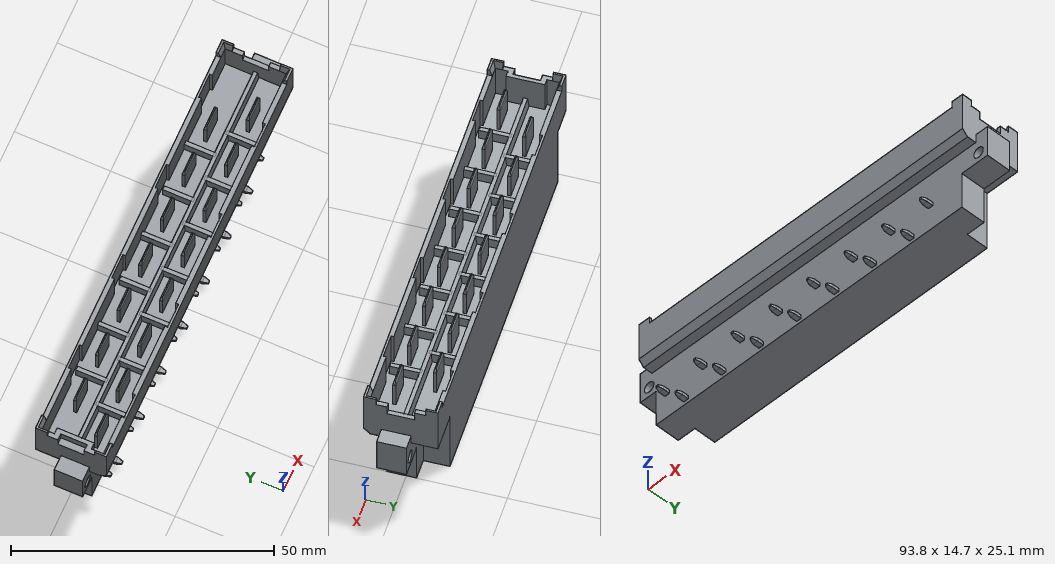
import cadquery as cq


LENGTH = 93.8
HEIGHT = 25.1

SHROUD_LENGTH = 87.4
SHROUD_WIDTH = 14.7
SHROUD_BOTTOM = 14.6
SHROUD_CHAMFER = 1.3
RIM_Z = 23.6
END_WALL = 0.9
SIDE_WALL = 1.0
FLOOR_Z = 16.3
CAVITY_LENGTH = SHROUD_LENGTH - 2 * END_WALL
CAVITY_WIDTH = SHROUD_WIDTH - 2 * SIDE_WALL
POST_LENGTH = 2.9
POST_GAP_Y = 9.85
POST_LEAD_IN = 0.6

WINDOW_WIDTH = 5.4
WINDOW_BOTTOM = 21.7
WINDOW_DEPTH = 1.4
KEY_BLOCK_WIDTH = 7.7
KEY_BLOCK_DEPTH = 2.25

FRONT_COUNT = 8
FRONT_ROW_LENGTH = 71.1
PITCH = FRONT_ROW_LENGTH / (FRONT_COUNT - 1)
BACK_COUNT = FRONT_COUNT - 1
ROW_Y = 3.3
CONTACT_CENTER_X = -1.3
FRONT_XS = [CONTACT_CENTER_X + (i - (FRONT_COUNT - 1) / 2) * PITCH for i in range(FRONT_COUNT)]
BACK_XS = [CONTACT_CENTER_X + (i - (BACK_COUNT - 1) / 2) * PITCH for i in range(BACK_COUNT)]

BLADE_WIDTH = 5.1
BLADE_THICKNESS = 0.7
BLADE_TOP = 22.8
BLADE_TIP_LENGTH = 0.8
BLADE_TIP_WIDTH = 4.1
BLADE_TIP_THICKNESS = 0.23

PIN_WIDTH = 1.2
PIN_HEIGHT = 0.8
PIN_OFFSET_X = -2.7
PIN_END_Y = -6.6
PIN_TIP_LENGTH = 1.1
PIN_TIP_WIDTH = 0.6
PIN_TIP_HEIGHT = 0.5
FRONT_PIN_Z = 6.4
BACK_PIN_Z = 1.3

RIB_TOP = 18.4
RIB_TOP_WIDTH = 0.8
CROSS_RIB_DRAFT = 0.14
CENTER_RIB_DRAFT = 0.3

CHANNEL_WIDTH = 5.2
CHANNEL_DEPTH = 0.6
CHANNEL_COUNT = 4

BODY_FRONT_Y = -3.8
BODY_STEP_Y = 2.1
EAR_BOTTOM = 9.0
EAR_TOP = 16.7
HOLE_DIAMETER = 2.5
HOLE_SPACING = 88.9
HOLE_Z = 11.4
BLOCK_LENGTH = 82.5
REAR_BLOCK_LENGTH = 73.5

OVERLAP = 0.5


def box(x_range, y_range, z_range):
    """Box between the given limits along each axis."""
    (x0, x1), (y0, y1), (z0, z1) = x_range, y_range, z_range
    return cq.Workplane("XY").box(x1 - x0, y1 - y0, z1 - z0, centered=False).translate((x0, y0, z0))


def span(center, size):
    """Limits of a stretch centred on a place."""
    return (center - size / 2, center + size / 2)


def frustum(start, start_size, end_size, length):
    """Rectangular frustum rising along Z from the middle of its base."""
    return (
        cq.Workplane("XY")
        .rect(*start_size)
        .workplane(offset=length)
        .rect(*end_size)
        .loft(combine=True)
        .translate(start)
    )


def make_housing():
    """Solid shroud with corner posts, drilled ears and the lower body."""
    half_width = SHROUD_WIDTH / 2
    shroud = box(span(0, SHROUD_LENGTH), span(0, SHROUD_WIDTH), (SHROUD_BOTTOM, HEIGHT))
    shroud = shroud.faces("<Z").edges("<Y").chamfer(SHROUD_CHAMFER)

    above_rim = (RIM_Z, HEIGHT)
    shroud = shroud.cut(box(span(0, SHROUD_LENGTH - 2 * POST_LENGTH), span(0, SHROUD_WIDTH), above_rim))
    shroud = shroud.cut(box(span(0, SHROUD_LENGTH), span(0, POST_GAP_Y), above_rim))

    plate = box(span(0, LENGTH), (BODY_FRONT_Y, BODY_STEP_Y), (EAR_BOTTOM, EAR_TOP))
    block = box(span(CONTACT_CENTER_X, BLOCK_LENGTH), (BODY_FRONT_Y, BODY_STEP_Y), (0, SHROUD_BOTTOM))
    rear_block = box(
        span(CONTACT_CENTER_X, REAR_BLOCK_LENGTH), (BODY_STEP_Y, half_width), (0, SHROUD_BOTTOM)
    )
    housing = shroud.union(plate).union(block).union(rear_block)

    holes = (
        cq.Workplane("XZ")
        .pushPoints([(-HOLE_SPACING / 2, HOLE_Z), (HOLE_SPACING / 2, HOLE_Z)])
        .circle(HOLE_DIAMETER / 2)
        .extrude(SHROUD_WIDTH, both=True)
    )
    return housing.cut(holes)


def make_channels(first_x, side):
    """Relief channels down one long wall; side is +1 for the back wall and -1 for the front."""
    center_y = side * CAVITY_WIDTH / 2
    channels = cq.Workplane("XY")
    for i in range(CHANNEL_COUNT):
        x = first_x + 2 * i * PITCH
        channel = box(span(x, CHANNEL_WIDTH), span(center_y, 2 * CHANNEL_DEPTH), (FLOOR_Z, HEIGHT))
        channels = channels.add(channel)
    return channels.combine()


def make_cavity():
    """Space inside the shroud with its wall channels and post lead-in, around the left end block."""
    left = -SHROUD_LENGTH / 2
    cavity = box(span(0, CAVITY_LENGTH), span(0, CAVITY_WIDTH), (FLOOR_Z, HEIGHT))
    cavity = cavity.union(make_channels(BACK_XS[0] + PITCH / 2, 1))
    cavity = cavity.union(make_channels(FRONT_XS[0] + PITCH / 2, -1))
    lead_in = frustum(
        (0, 0, RIM_Z),
        (CAVITY_LENGTH, CAVITY_WIDTH),
        (CAVITY_LENGTH + 2 * POST_LEAD_IN, CAVITY_WIDTH + 2 * POST_LEAD_IN),
        HEIGHT - RIM_Z,
    )
    key_block = box((left, left + KEY_BLOCK_DEPTH), span(0, KEY_BLOCK_WIDTH), (FLOOR_Z, RIM_Z))
    return cavity.union(lead_in).cut(key_block)


def cut_end_windows(shell):
    """Pocket in the block inside the left end, and a window through the right end wall."""
    left = -SHROUD_LENGTH / 2
    right = SHROUD_LENGTH / 2
    window_y = span(0, WINDOW_WIDTH)
    window_z = (WINDOW_BOTTOM, RIM_Z)
    shell = shell.cut(box((left, left + WINDOW_DEPTH), window_y, window_z))
    return shell.cut(box((right - END_WALL, right), window_y, window_z))


def tapered_rib(x_size, y_size, x_draft, y_draft, x, y):
    """Rib standing on the cavity floor, given by its top size and the draft of its sides."""
    bottom = (x_size + 2 * x_draft, y_size + 2 * y_draft)
    return frustum((x, y, FLOOR_Z), bottom, (x_size, y_size), RIB_TOP - FLOOR_Z)


def add_ribs(shell):
    """Long rib between the rows and a cross rib between neighbouring blades."""
    shell = shell.union(tapered_rib(CAVITY_LENGTH, RIB_TOP_WIDTH, 0, CENTER_RIB_DRAFT, 0, 0))
    cross_length = CAVITY_WIDTH / 2
    for row_xs, side in ((FRONT_XS, -1), (BACK_XS, 1)):
        for x in row_xs[:-1]:
            rib_x = x + PITCH / 2
            rib_y = side * cross_length / 2
            shell = shell.union(tapered_rib(RIB_TOP_WIDTH, cross_length, CROSS_RIB_DRAFT, 0, rib_x, rib_y))
    return shell


def make_blade(x, y):
    """Flat contact blade with its tip bevelled on all four sides."""
    tip_start = BLADE_TOP - BLADE_TIP_LENGTH
    blade = box(span(x, BLADE_WIDTH), span(y, BLADE_THICKNESS), (FLOOR_Z - OVERLAP, tip_start))
    tip = frustum(
        (x, y, tip_start),
        (BLADE_WIDTH, BLADE_THICKNESS),
        (BLADE_TIP_WIDTH, BLADE_TIP_THICKNESS),
        BLADE_TIP_LENGTH,
    )
    return blade.union(tip)


def make_pin(x, z):
    """Solder pin out of the front face with its tip bevelled on all four sides."""
    tip_start = PIN_END_Y + PIN_TIP_LENGTH
    pin = box(span(x, PIN_WIDTH), (tip_start, BODY_FRONT_Y + OVERLAP), span(z, PIN_HEIGHT))
    tip = frustum((0, 0, 0), (PIN_WIDTH, PIN_HEIGHT), (PIN_TIP_WIDTH, PIN_TIP_HEIGHT), PIN_TIP_LENGTH)
    tip = tip.rotate((0, 0, 0), (1, 0, 0), 90).translate((x, tip_start, z))
    return pin.union(tip)


def add_contacts(shell):
    """Blade and solder pin of every contact in both rows."""
    for row_xs, y, pin_z in ((FRONT_XS, -ROW_Y, FRONT_PIN_Z), (BACK_XS, ROW_Y, BACK_PIN_Z)):
        for x in row_xs:
            shell = shell.union(make_blade(x, y))
            shell = shell.union(make_pin(x + PIN_OFFSET_X, pin_z))
    return shell


connector = make_housing().cut(make_cavity())
connector = cut_end_windows(connector)
connector = add_ribs(connector)
result = add_contacts(connector)